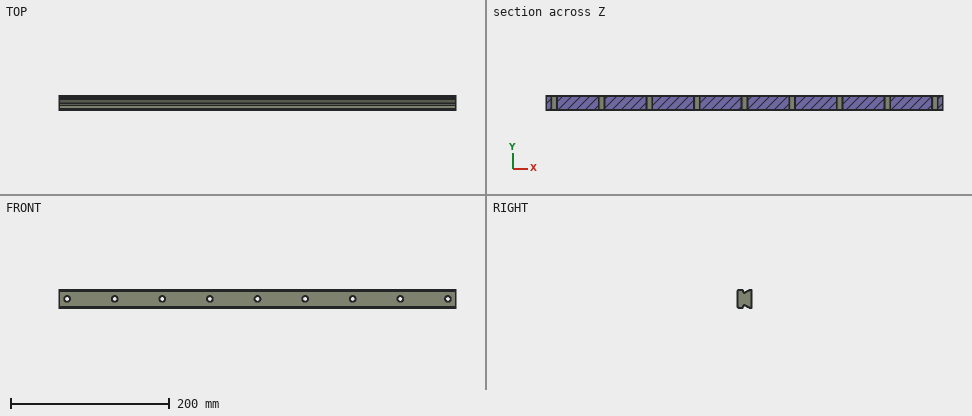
import cadquery as cq
import math

length = 500.0
height = 18.0
width = 23.0

base_y = -height / 2
head_y = height / 2
half_width = width / 2
base_chamfer = 1.6
head_chamfer = 0.45

track_start_y = 6.74
track_end_y = 4.62
track_depth = 1.0
track_sweep = math.radians(55.0)
flank_end_y = -0.5
flank_angle = math.radians(30.0)
wall_end_y = -2.7
groove_depth = track_depth + (track_end_y - flank_end_y) * math.tan(flank_angle)

hole_diameter = 7.0
hole_pitch = 60.0
hole_count = 9


def track_middle():
    """Middle point (y, depth) of the hollow track arc, bulging below the chord between its ends."""
    run = track_start_y - track_end_y
    chord = math.hypot(run, track_depth)
    bulge = chord / 2 * math.tan(track_sweep / 4)
    return (
        (track_start_y + track_end_y) / 2 + bulge * track_depth / chord,
        track_depth / 2 + bulge * run / chord,
    )


def half_profile():
    """Cross-section of the half of the rail on the +Z side of its middle plane."""

    def at(y, depth):
        return (y, half_width - depth)

    return (
        cq.Workplane("YZ")
        .moveTo(base_y, 0)
        .lineTo(*at(base_y, base_chamfer))
        .lineTo(*at(base_y + base_chamfer, 0))
        .lineTo(*at(wall_end_y, 0))
        .lineTo(*at(flank_end_y, groove_depth))
        .lineTo(*at(track_end_y, track_depth))
        .threePointArc(at(*track_middle()), at(track_start_y, 0))
        .lineTo(*at(head_y - head_chamfer, 0))
        .lineTo(*at(head_y, head_chamfer))
        .lineTo(head_y, 0)
    )


def rail_body():
    """Cross-section symmetric about the middle plane, extruded along X and centred on the origin."""
    return half_profile().mirrorX().extrude(length / 2, both=True)


def mounting_holes():
    """Row of round cutters along X, passing right through the height."""
    return (
        cq.Workplane("XZ")
        .rarray(hole_pitch, 1, hole_count, 1)
        .circle(hole_diameter / 2)
        .extrude(height, both=True)
    )


result = rail_body().cut(mounting_holes())